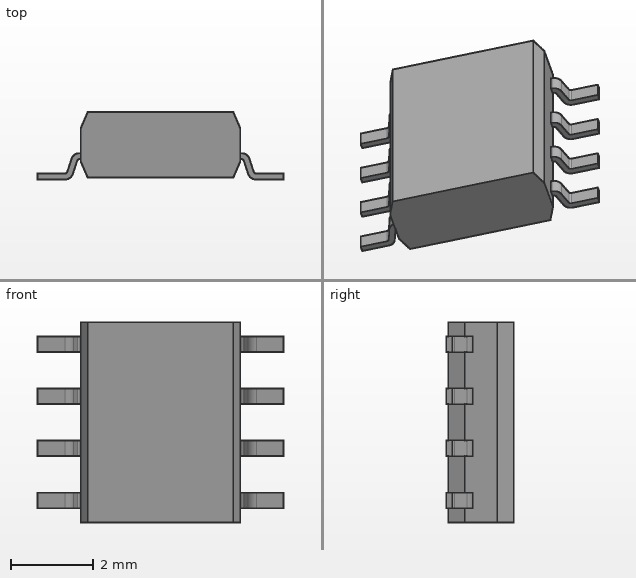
import cadquery as cq
import math

overall_span = 6.0
overall_depth = 1.65

body_width = 3.9
body_depth = 1.6
body_height = 4.89
bevel_run = 0.175
bevel_depth = body_depth / 4

leads_per_side = 4
lead_row_span = 3.81
lead_width = 0.385
lead_thickness = 0.15
lead_top = 0.65
bend_inner_radius = 0.06
exit_length = 0.025
shank_angle = math.radians(72)

body_front = overall_depth - body_depth
half_width = body_width / 2
lead_pitch = lead_row_span / (leads_per_side - 1)
bend_outer_radius = bend_inner_radius + lead_thickness

bend_run = (bend_inner_radius + bend_outer_radius) * math.sin(shank_angle)
bend_rise = (bend_inner_radius + bend_outer_radius) * (1 - math.cos(shank_angle))
shank_rise = lead_top - lead_thickness - bend_rise
shank_run = shank_rise / math.tan(shank_angle)
upper_center = (-half_width - exit_length, lead_top - bend_outer_radius)
lower_center = (upper_center[0] - bend_run - shank_run, bend_outer_radius)


def make_body():
    """Package block with its four long edges beveled, extruded along Z."""
    flat_half_width = half_width - bevel_run
    outline = [
        (-flat_half_width, body_front),
        (flat_half_width, body_front),
        (half_width, body_front + bevel_depth),
        (half_width, overall_depth - bevel_depth),
        (flat_half_width, overall_depth),
        (-flat_half_width, overall_depth),
        (-half_width, overall_depth - bevel_depth),
        (-half_width, body_front + bevel_depth),
    ]
    return cq.Workplane("XY").polyline(outline).close().extrude(body_height / 2, both=True)


def point_on_bend(center, radius, angle):
    """Point on a circle, with the angle measured from +X toward +Y."""
    return (center[0] + radius * math.cos(angle), center[1] + radius * math.sin(angle))


def make_left_lead(z):
    """Gull-wing lead on the -X side, centered at height z and butting against the body."""
    foot_tip = -overall_span / 2
    up = math.pi / 2
    down = -up

    def upper(radius, turn):
        return point_on_bend(upper_center, radius, up + turn)

    def lower(radius, turn):
        return point_on_bend(lower_center, radius, down + turn)

    half_turn = shank_angle / 2
    profile = (
        cq.Workplane("XY")
        .moveTo(foot_tip, 0)
        .lineTo(*lower(bend_outer_radius, 0))
        .threePointArc(lower(bend_outer_radius, half_turn), lower(bend_outer_radius, shank_angle))
        .lineTo(*upper(bend_inner_radius, shank_angle))
        .threePointArc(upper(bend_inner_radius, half_turn), upper(bend_inner_radius, 0))
        .lineTo(-half_width, lead_top - lead_thickness)
        .lineTo(-half_width, lead_top)
        .lineTo(*upper(bend_outer_radius, 0))
        .threePointArc(upper(bend_outer_radius, half_turn), upper(bend_outer_radius, shank_angle))
        .lineTo(*lower(bend_inner_radius, shank_angle))
        .threePointArc(lower(bend_inner_radius, half_turn), lower(bend_inner_radius, 0))
        .lineTo(foot_tip, lead_thickness)
        .close()
    )
    return profile.extrude(lead_width / 2, both=True).translate((0, 0, z))


body = make_body()

leads = []
for row in range(leads_per_side):
    row_z = (row - (leads_per_side - 1) / 2) * lead_pitch
    left_lead = make_left_lead(row_z)
    right_lead = left_lead.mirror("YZ")
    leads.append(left_lead.val())
    leads.append(right_lead.val())

result = cq.Compound.makeCompound([body.val(), *leads])